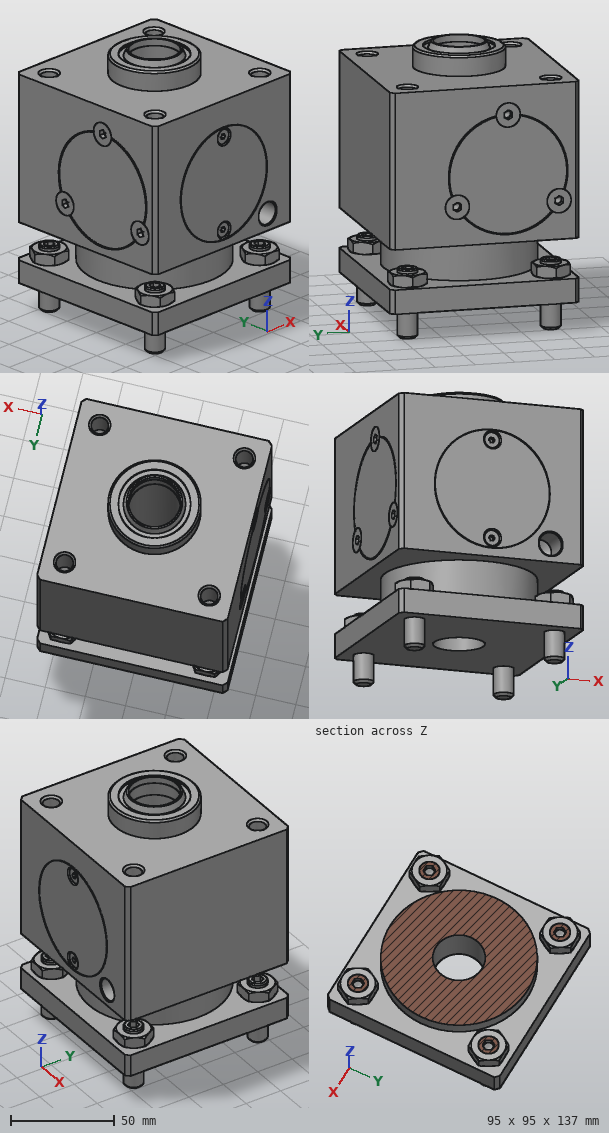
import cadquery as cq
import math

side = 95.0
corner_chamfer = 2.0
stud_drop = 14.5
plate_height = 12.0
neck_height = 20.0
neck_diameter = 76.0
housing_height = 78.0

total_height = 137.0
guide_diameter = 45.1
guide_height = 10.3
guide_chamfer = 1.0
wiper_base_diameter = 30.1
wiper_tip_diameter = 27.1
wiper_lip_height = 3.5
seal_recess_diameter = 35.0
seal_recess_depth = 1.1
bore_diameter = 25.2
wiper_cavity_diameter = 25.5
wiper_cavity_height = 6.8

bolt_spacing = 72.0
stud_diameter = 10.0
stud_chamfer = 0.7
stud_point_chamfer = 1.4
stud_projection = 2.0
stud_socket_width = 5.0
stud_socket_depth = 4.0
nut_width = 17.0
nut_height = 6.0
nut_chamfer_angle = math.radians(30)

drill_tip_angle = math.radians(118)
top_hole_diameter = 8.4
top_hole_mouth = 10.5
top_hole_depth = 20.0
port_diameter = 11.5
port_mouth = 12.6
port_depth = 15.1
port_offset_x = 30.0
port_height = 9.0

cover_diameter = 59.0
cover_gap_depth = 0.5
front_cover_gap = 0.1
side_cover_gap = 0.4
cover_height = 34.0
front_screw_radius = 24.5
front_screw_mouth = 9.0
front_screw_head = 7.7
front_socket_width = 2.5
front_socket_depth = 2.0
side_cover_y = -11.5
side_screw_count = 3
side_screw_head = 12.0
side_screw_recess = 0.1
side_socket_width = 4.0
side_socket_depth = 3.0

plate_bottom = stud_drop
plate_top = plate_bottom + plate_height
housing_bottom = plate_top + neck_height
housing_top = housing_bottom + housing_height
guide_top = housing_top + guide_height
bolt_points = [(sx * bolt_spacing / 2, sy * bolt_spacing / 2) for sx in (-1, 1) for sy in (-1, 1)]
cover_z = housing_bottom + cover_height
front_face = cq.Plane(origin=(0, -side / 2, cover_z), xDir=(1, 0, 0), normal=(0, -1, 0))
side_face = cq.Plane(origin=(-side / 2, side_cover_y, cover_z), xDir=(0, -1, 0), normal=(-1, 0, 0))
top_face = cq.Plane(origin=(0, 0, housing_top))


def hex_across_corners(width):
    return width / math.cos(math.pi / 6)


def cylinder(diameter, bottom, top):
    return cq.Workplane("XY").workplane(offset=bottom).circle(diameter / 2).extrude(top - bottom)


def chamfered_square(bottom, height):
    block = cq.Workplane("XY").workplane(offset=bottom).rect(side, side).extrude(height)
    return block.edges("|Z").chamfer(corner_chamfer)


def revolved(profile_points, plane, x, y):
    """Turn a closed (radius, height) outline about the plane's normal at the point (x, y)."""
    origin = plane.toWorldCoords((x, y, 0))
    section = cq.Plane(origin=origin, xDir=plane.xDir, normal=-plane.yDir)
    return cq.Workplane(section).polyline(profile_points).close().revolve(360, (0, 0, 0), (0, 1, 0))


def drill_bore(plane, x, y, diameter, depth):
    """Blind round hole with a conical drill tip."""
    radius = diameter / 2
    tip = radius / math.tan(drill_tip_angle / 2)
    return revolved([(0, 0), (radius, 0), (radius, -depth), (0, -depth - tip)], plane, x, y)


def countersunk_hole(plane, x, y, diameter, mouth, depth):
    """Blind drilled hole with a 45 degree countersink."""
    return drill_bore(plane, x, y, diameter, depth).union(cone_recess(plane, x, y, mouth, diameter))


def cone_recess(plane, x, y, mouth, floor):
    """Recess narrowing at 45 degrees from the mouth diameter to the floor diameter."""
    depth = (mouth - floor) / 2
    return revolved([(0, 0), (mouth / 2, 0), (floor / 2, -depth), (0, -depth)], plane, x, y)


def hex_socket(plane, x, y, width, depth, turn=0):
    """Hexagonal pocket with a conical drill tip; a turn of 0 puts corners along the plane's x axis."""
    origin = plane.toWorldCoords((x, y, 0))
    mouth = cq.Plane(origin=origin, xDir=plane.xDir, normal=plane.zDir).rotated((0, 0, turn))
    hexagon = cq.Workplane(mouth).polygon(6, hex_across_corners(width)).extrude(-depth)
    return hexagon.union(drill_bore(plane, x, y, width, depth))


def cover_groove(plane, gap):
    """Fine gap around a flush round cover."""
    cover_radius = cover_diameter / 2
    return cq.Workplane(plane).circle(cover_radius + gap).circle(cover_radius).extrude(-cover_gap_depth)


def rod_guide():
    guide = cylinder(guide_diameter, housing_top, guide_top).faces(">Z").chamfer(guide_chamfer)
    recess_floor = guide_top - seal_recess_depth
    recess = cylinder(seal_recess_diameter, recess_floor, guide_top)
    wiper_profile = [
        (0, recess_floor),
        (wiper_base_diameter / 2, recess_floor),
        (wiper_tip_diameter / 2, total_height),
        (0, total_height),
    ]
    wiper = revolved(wiper_profile, cq.Plane.XY(), 0, 0)
    return guide.cut(recess).union(wiper)


def rod_bore():
    cavity_top = total_height - wiper_lip_height
    cavity = cylinder(wiper_cavity_diameter, cavity_top - wiper_cavity_height, cavity_top)
    return cylinder(bore_diameter, plate_bottom, total_height).union(cavity)


def stud_with_nut(x, y):
    """Socket-ended stud through the plate, held by a hexagon nut chamfered at both ends."""
    nut_top = plate_top + nut_height
    stud_top = nut_top + stud_projection
    stud = cylinder(stud_diameter, 0, stud_top)
    stud = stud.faces(">Z").chamfer(stud_chamfer).faces("<Z").chamfer(stud_point_chamfer)
    stud_end = cq.Plane(origin=(0, 0, stud_top))
    socket = hex_socket(stud_end, 0, 0, stud_socket_width, stud_socket_depth)

    corner_radius = hex_across_corners(nut_width) / 2
    face_radius = nut_width / 2
    drop = (corner_radius - face_radius) * math.tan(nut_chamfer_angle)
    hexagon = cq.Workplane("XY").workplane(offset=plate_top)
    hexagon = hexagon.polygon(6, 2 * corner_radius).extrude(nut_height)
    envelope_profile = [
        (0, plate_top),
        (face_radius, plate_top),
        (corner_radius, plate_top + drop),
        (corner_radius, nut_top - drop),
        (face_radius, nut_top),
        (0, nut_top),
    ]
    nut = hexagon.intersect(revolved(envelope_profile, cq.Plane.XY(), 0, 0))
    return nut.union(stud).cut(socket).translate((x, y, 0))


def cut_front_cover(body):
    """Round cover with two countersunk screws, one above the other."""
    body = body.cut(cover_groove(front_face, front_cover_gap))
    head_depth = (front_screw_mouth - front_screw_head) / 2
    for y in (-front_screw_radius, front_screw_radius):
        body = body.cut(cone_recess(front_face, 0, y, front_screw_mouth, front_screw_head))
        body = body.cut(hex_socket(front_face, 0, y, front_socket_width, head_depth + front_socket_depth))
    return body


def cut_side_cover(body):
    """Round cover held by three screw heads centred on its rim."""
    body = body.cut(cover_groove(side_face, side_cover_gap))
    for i in range(side_screw_count):
        angle = math.pi / 2 + 2 * math.pi * i / side_screw_count
        x = cover_diameter / 2 * math.cos(angle)
        y = cover_diameter / 2 * math.sin(angle)
        head_place = cq.Workplane(side_face).center(x, y)
        body = body.union(head_place.circle(side_screw_head / 2).extrude(-cover_gap_depth))
        body = body.cut(head_place.circle(side_screw_head / 2).extrude(-side_screw_recess))
        body = body.cut(hex_socket(side_face, x, y, side_socket_width, side_socket_depth, turn=90))
    return body


def housing():
    body = chamfered_square(housing_bottom, housing_height)
    body = cut_front_cover(body)
    body = cut_side_cover(body)
    for x, y in bolt_points:
        body = body.cut(countersunk_hole(top_face, x, y, top_hole_diameter, top_hole_mouth, top_hole_depth))
    port_y = port_height - cover_height
    return body.cut(countersunk_hole(front_face, port_offset_x, port_y, port_diameter, port_mouth, port_depth))


result = housing().union(rod_guide())
result = result.union(cylinder(neck_diameter, plate_top, housing_bottom))
result = result.union(chamfered_square(plate_bottom, plate_height))
result = result.cut(rod_bore())
for x, y in bolt_points:
    result = result.union(stud_with_nut(x, y))